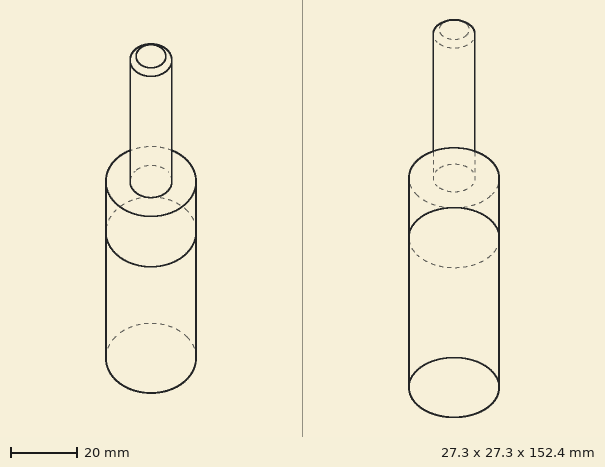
import cadquery as cq

total_length = 152.4
body_diameter = 27.3
shank_diameter = 12.6

cone_height = 8.2
joint_height = 68.6
shoulder_height = 92.7

bevel_length = 1.8
bevel_inset = 1.8

body_radius = body_diameter / 2
shank_radius = shank_diameter / 2


def make_pointed_body():
    """Cylinder with a conical point, its apex at the origin."""
    half_profile = (
        cq.Workplane("XZ")
        .moveTo(0, 0)
        .lineTo(body_radius, cone_height)
        .lineTo(body_radius, joint_height)
        .lineTo(0, joint_height)
        .close()
    )
    return half_profile.revolve(360, (0, 0, 0), (0, 1, 0))


def make_shank():
    """Collar flush with the pointed body, carrying a bevelled shank."""
    half_profile = (
        cq.Workplane("XZ")
        .moveTo(0, joint_height)
        .lineTo(body_radius, joint_height)
        .lineTo(body_radius, shoulder_height)
        .lineTo(shank_radius, shoulder_height)
        .lineTo(shank_radius, total_length - bevel_length)
        .lineTo(shank_radius - bevel_inset, total_length)
        .lineTo(0, total_length)
        .close()
    )
    return half_profile.revolve(360, (0, 0, 0), (0, 1, 0))


pointed_body = make_pointed_body()
shank = make_shank()

result = cq.Compound.makeCompound([pointed_body.val(), shank.val()])